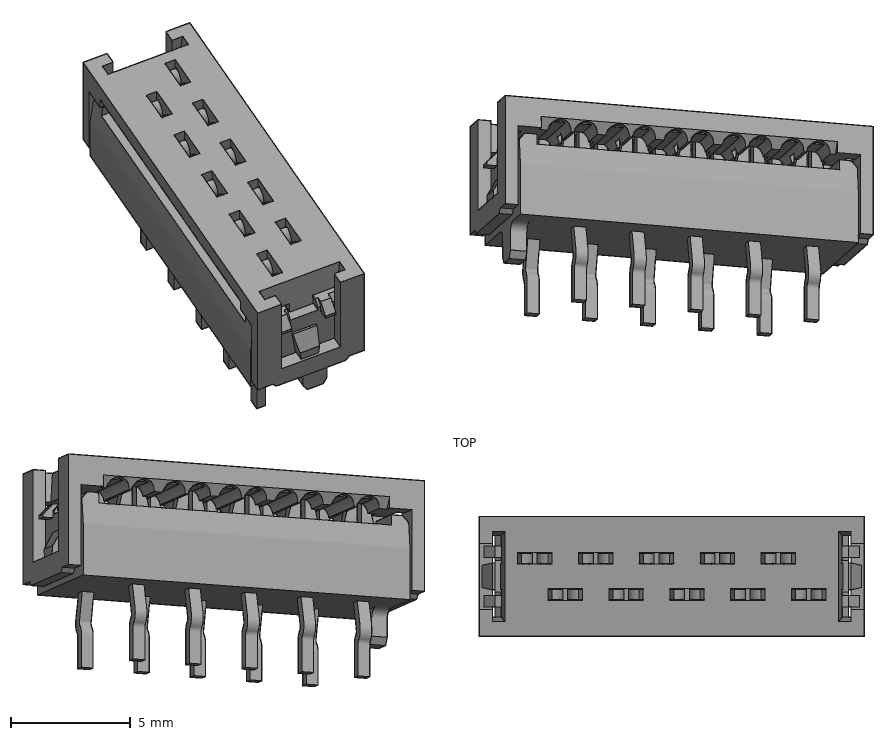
import cadquery as cq


LENGTH = 16.08
DEPTH = 5.0
TOP = 5.1
PIN_BOTTOM = -3.2
HALF_LENGTH = LENGTH / 2
HALF_DEPTH = DEPTH / 2

BASE_HALF_LENGTH = 7.38
SLOPE_START = 2.17
BASE_TOP = 3.14
EAR_TOP = 3.59
EAR_INNER_X = 6.61
SLOPE_INSET = 0.2
EAR_CHAMFER_X = 0.25
EAR_CHAMFER_Z = 0.29
TONGUE_NOTCH_WIDTH = 1.32

BOSS_OFFSET_Y = 1.03
BOSS_WIDTH = 0.48
BOSS_REACH = 0.45
BOSS_RAMP_END = 3.12
BOSS_BOTTOM = 2.99
WEDGE_TOP = 2.33
WEDGE_RAMP_END = 1.56
WEDGE_REACH = 0.55
WEDGE_LEDGE = 0.1
WEDGE_TOP_WIDTH = 1.13
WEDGE_BOTTOM_WIDTH = 0.82

COVER_BOTTOM = 3.83
LEG_INNER_X = 7.48
LEG_BOTTOM = 0.21
LEG_EDGE_BOTTOM = 0.4
LEG_FLAT_HALF = 1.62
LEG_BEVEL_HALF = 1.8
LEG_WINDOW_WIDTH = 2.75
LEG_WINDOW_SILL = 1.15
CABLE_HALF_LENGTH = 6.46
CABLE_TOP = 4.31
CABLE_LEAD_IN = 0.29
END_SLOT_TOP_X = 6.96
END_SLOT_BOTTOM_X = 7.1
END_SLOT_TOP_HALF = 1.88
END_SLOT_BOTTOM_HALF = 1.7
TONGUE_WIDTH = 1.1
TONGUE_BOTTOM = 3.38

CONTACT_COUNT = 10
PITCH = 1.27
ROW_Y = 0.75
WIRE_RADIUS = 0.51
WIRE_CEILING = 4.21
WIRE_Z = 3.76
FRONT_WIRE_SHIFT = -0.13
ACCESS_SLOT_LENGTH = 1.43
ACCESS_SLOT_WIDTH = 0.48
BLADE_THICKNESS = 0.42
BLADE_TOP = 4.76
BLADE_SHOULDER = 3.89
BLADE_ROOT_HALF = 0.72
BLADE_TIP_HALF = 0.55
BLADE_TIP_FLAT = 0.05
FORK_HALF_GAP = 0.1
FORK_MOUTH = 4.28
FORK_BULGE = (0.23, 4.6)
FORK_FLARE = 0.15
PIN_WIDTH = 0.53
BURIED_Z = 0.8

PIN_ROOT_INNER_Y = 1.0
PIN_ROOT_OUTER_Y = 1.4
PIN_TAIL_INNER_Y = 1.08
PIN_TAIL_OUTER_Y = 1.5
PIN_KINK_END = -1.83
INNER_KINK_START = (1.29, -1.17)
INNER_KINK_CREST = (1.3, -1.29)
INNER_KINK_TURN = (1.25, -1.4)
INNER_KINK_SWEEP = (1.13, -1.58)
OUTER_KINK_START = (1.69, -1.01)
OUTER_KINK_CREST = (1.72, -1.19)
OUTER_KINK_SWEEP = (1.69, -1.46)
OUTER_KINK_TURN = (1.55, -1.69)
OUTER_KINK_BLEND = (1.51, -1.75)

TAB_WIDTH = 0.7
TAB_Y = 0.53
TAB_HALF_DEPTH = 0.56
TAB_BOTTOM = -1.5
TAB_CHAMFER_Y = 0.2
TAB_CHAMFER_Z = 0.32
TAB_FILLET = 0.39


def block(x_min, x_max, y_min, y_max, z_min, z_max):
    """Axis-aligned box between the given limits."""
    box = cq.Workplane("XY").box(x_max - x_min, y_max - y_min, z_max - z_min, centered=False)
    return box.translate((x_min, y_min, z_min))


def extrude_along_x(outline, x_min, x_max):
    """Prism along X from a closed YZ outline."""
    return outline.extrude(x_max - x_min).translate((x_min, 0, 0))


def extrude_along_y(outline, y_center, thickness):
    """Prism along Y, centred on y_center, from a closed XZ outline."""
    return outline.extrude(thickness / 2, both=True).translate((0, y_center, 0))


def both_ends(solid):
    """The +X solid together with its mirror image at the -X end."""
    return solid.union(solid.mirror("YZ"))


def make_base():
    """Block with leaning upper faces, raised ears at the ends and a notch for the tongues."""
    top_half = HALF_DEPTH - SLOPE_INSET
    outline = (
        cq.Workplane("YZ")
        .polyline([
            (-HALF_DEPTH, 0),
            (HALF_DEPTH, 0),
            (HALF_DEPTH, SLOPE_START),
            (top_half, EAR_TOP),
            (-top_half, EAR_TOP),
            (-HALF_DEPTH, SLOPE_START),
        ])
        .close()
    )
    base = extrude_along_x(outline, -BASE_HALF_LENGTH, BASE_HALF_LENGTH)

    chamfer = (
        cq.Workplane("XZ")
        .moveTo(BASE_HALF_LENGTH, EAR_TOP)
        .lineTo(BASE_HALF_LENGTH - EAR_CHAMFER_X, EAR_TOP)
        .lineTo(BASE_HALF_LENGTH, EAR_TOP - EAR_CHAMFER_Z)
        .close()
    )
    base = base.cut(both_ends(extrude_along_y(chamfer, 0, DEPTH)))
    base = base.cut(block(-EAR_INNER_X, EAR_INNER_X, -HALF_DEPTH, HALF_DEPTH, BASE_TOP, EAR_TOP))
    notch_half = TONGUE_NOTCH_WIDTH / 2
    return base.cut(
        block(-BASE_HALF_LENGTH, BASE_HALF_LENGTH, -notch_half, notch_half, BASE_TOP, EAR_TOP)
    )


def make_latch_bosses():
    """Two ramped bosses and one tapered wedge at each end of the base."""
    root_x = BASE_HALF_LENGTH - EAR_CHAMFER_X
    ramp = (
        cq.Workplane("XZ")
        .polyline([
            (root_x, EAR_TOP),
            (BASE_HALF_LENGTH, EAR_TOP),
            (BASE_HALF_LENGTH + BOSS_REACH, BOSS_RAMP_END),
            (BASE_HALF_LENGTH + BOSS_REACH, BOSS_BOTTOM),
            (root_x, BOSS_BOTTOM),
        ])
        .close()
    )
    boss = extrude_along_y(ramp, BOSS_OFFSET_Y, BOSS_WIDTH)

    wedge_profile = (
        cq.Workplane("XZ")
        .polyline([
            (root_x, WEDGE_TOP),
            (BASE_HALF_LENGTH + WEDGE_LEDGE, WEDGE_TOP),
            (BASE_HALF_LENGTH + WEDGE_REACH, WEDGE_RAMP_END),
            (BASE_HALF_LENGTH + WEDGE_REACH, LEG_WINDOW_SILL),
            (root_x, LEG_WINDOW_SILL),
        ])
        .close()
    )
    wedge_face = (
        cq.Workplane("YZ")
        .polyline([
            (-WEDGE_TOP_WIDTH / 2, WEDGE_TOP),
            (WEDGE_TOP_WIDTH / 2, WEDGE_TOP),
            (WEDGE_BOTTOM_WIDTH / 2, LEG_WINDOW_SILL),
            (-WEDGE_BOTTOM_WIDTH / 2, LEG_WINDOW_SILL),
        ])
        .close()
    )
    wedge = extrude_along_y(wedge_profile, 0, WEDGE_TOP_WIDTH)
    wedge = wedge.intersect(extrude_along_x(wedge_face, root_x, HALF_LENGTH))
    return both_ends(boss.union(boss.mirror("XZ")).union(wedge))


def make_tab():
    """Locating tab with a chamfered foot and filleted roots, below the +X end of the base."""
    arc_mid = TAB_FILLET * (1 - 0.5 ** 0.5)
    left = TAB_Y - TAB_HALF_DEPTH
    right = TAB_Y + TAB_HALF_DEPTH
    outline = (
        cq.Workplane("YZ")
        .moveTo(left - TAB_FILLET, 0)
        .threePointArc((left - arc_mid, -arc_mid), (left, -TAB_FILLET))
        .lineTo(left, TAB_BOTTOM + TAB_CHAMFER_Z)
        .lineTo(left + TAB_CHAMFER_Y, TAB_BOTTOM)
        .lineTo(right - TAB_CHAMFER_Y, TAB_BOTTOM)
        .lineTo(right, TAB_BOTTOM + TAB_CHAMFER_Z)
        .lineTo(right, -TAB_FILLET)
        .threePointArc((right + arc_mid, -arc_mid), (right + TAB_FILLET, 0))
        .close()
    )
    return extrude_along_x(outline, BASE_HALF_LENGTH - TAB_WIDTH, BASE_HALF_LENGTH)


def make_leg():
    """End leg at +X with bevelled lower edges and a window open to the top."""
    outline = (
        cq.Workplane("YZ")
        .polyline([
            (-HALF_DEPTH, TOP),
            (-HALF_DEPTH, LEG_EDGE_BOTTOM),
            (-LEG_BEVEL_HALF, LEG_EDGE_BOTTOM),
            (-LEG_FLAT_HALF, LEG_BOTTOM),
            (LEG_FLAT_HALF, LEG_BOTTOM),
            (LEG_BEVEL_HALF, LEG_EDGE_BOTTOM),
            (HALF_DEPTH, LEG_EDGE_BOTTOM),
            (HALF_DEPTH, TOP),
        ])
        .close()
    )
    leg = extrude_along_x(outline, LEG_INNER_X, HALF_LENGTH)
    window_half = LEG_WINDOW_WIDTH / 2
    return leg.cut(
        block(LEG_INNER_X, HALF_LENGTH, -window_half, window_half, LEG_WINDOW_SILL, TOP)
    )


def make_end_slot():
    """Slot between the +X leg and the cover slab, narrowing downwards on three sides."""
    def slot_rectangle(z, inner_x, half_width):
        return cq.Wire.makePolygon(
            [
                cq.Vector(inner_x, -half_width, z),
                cq.Vector(LEG_INNER_X, -half_width, z),
                cq.Vector(LEG_INNER_X, half_width, z),
                cq.Vector(inner_x, half_width, z),
            ],
            close=True,
        )

    lower = slot_rectangle(COVER_BOTTOM, END_SLOT_BOTTOM_X, END_SLOT_BOTTOM_HALF)
    upper = slot_rectangle(TOP, END_SLOT_TOP_X, END_SLOT_TOP_HALF)
    return cq.Workplane(cq.Solid.makeLoft([lower, upper], True))


def make_cable_lead_in():
    """Sloped relief along the lower front edge of the cover slab."""
    outline = (
        cq.Workplane("YZ")
        .moveTo(-HALF_DEPTH, CABLE_TOP)
        .lineTo(-HALF_DEPTH, COVER_BOTTOM)
        .lineTo(-HALF_DEPTH + CABLE_LEAD_IN, COVER_BOTTOM)
        .close()
    )
    return extrude_along_x(outline, -CABLE_HALF_LENGTH, CABLE_HALF_LENGTH)


def make_wire_groove():
    """Round groove along Y at X = 0, with a flattened ceiling between its two round mouths."""
    circle = cq.Workplane("XZ").center(0, WIRE_Z).circle(WIRE_RADIUS)
    groove = extrude_along_y(circle, 0, DEPTH)
    inner_y = HALF_DEPTH - CABLE_LEAD_IN
    above_ceiling = block(-WIRE_RADIUS, WIRE_RADIUS, -inner_y, inner_y, WIRE_CEILING, TOP)
    return groove.cut(above_ceiling)


def contact_places():
    """Yields x and the row side (+1 rear, -1 front) of every contact."""
    for index in range(CONTACT_COUNT):
        x = (index - (CONTACT_COUNT - 1) / 2) * PITCH
        side = 1 if index % 2 == 0 else -1
        yield x, side


def make_cover():
    """Slab over the contacts with two legs, tongues, wire grooves and test slots."""
    slab = block(-LEG_INNER_X, LEG_INNER_X, -HALF_DEPTH, HALF_DEPTH, COVER_BOTTOM, TOP)
    cover = slab.union(both_ends(make_leg())).cut(both_ends(make_end_slot()))

    lead_in = make_cable_lead_in()
    cover = cover.cut(lead_in).cut(lead_in.mirror("XZ"))

    for x, side in contact_places():
        wire_x = x if side > 0 else x + FRONT_WIRE_SHIFT
        cover = cover.cut(make_wire_groove().translate((wire_x, 0, 0)))
        slot = (
            cq.Workplane("XY", origin=(x, side * ROW_Y, COVER_BOTTOM))
            .rect(ACCESS_SLOT_LENGTH, ACCESS_SLOT_WIDTH)
            .extrude(TOP - COVER_BOTTOM)
        )
        cover = cover.cut(slot)

    end_slope = (END_SLOT_BOTTOM_X - END_SLOT_TOP_X) / (TOP - COVER_BOTTOM)
    tongue_tip_x = END_SLOT_BOTTOM_X + end_slope * (COVER_BOTTOM - TONGUE_BOTTOM)
    outline = (
        cq.Workplane("XZ")
        .polyline([
            (CABLE_HALF_LENGTH, TONGUE_BOTTOM),
            (tongue_tip_x, TONGUE_BOTTOM),
            (END_SLOT_TOP_X, TOP),
            (CABLE_HALF_LENGTH, TOP),
        ])
        .close()
    )
    tongue = extrude_along_y(outline, 0, TONGUE_WIDTH)
    return cover.union(both_ends(tongue))


def make_blade():
    """Forked upper end of a contact, centred on X = 0 and Y = 0."""
    half = (
        cq.Workplane("XZ")
        .moveTo(0, BURIED_Z)
        .lineTo(BLADE_ROOT_HALF, BURIED_Z)
        .lineTo(BLADE_ROOT_HALF, BASE_TOP)
        .lineTo(BLADE_TIP_HALF, BLADE_SHOULDER)
        .lineTo(BLADE_TIP_HALF, BLADE_TOP)
        .lineTo(BLADE_TIP_HALF - BLADE_TIP_FLAT, BLADE_TOP)
        .threePointArc(FORK_BULGE, (FORK_HALF_GAP, FORK_MOUTH))
        .lineTo(FORK_HALF_GAP, BASE_TOP + FORK_FLARE)
        .lineTo(FORK_HALF_GAP + FORK_FLARE, BASE_TOP)
        .lineTo(0, BASE_TOP)
        .close()
    )
    return both_ends(extrude_along_y(half, 0, BLADE_THICKNESS))


def make_pin():
    """Kinked solder pin of a rear-row contact, centred on X = 0."""
    outline = (
        cq.Workplane("YZ")
        .moveTo(PIN_ROOT_INNER_Y, BURIED_Z)
        .lineTo(PIN_ROOT_INNER_Y, 0)
        .lineTo(*INNER_KINK_START)
        .threePointArc(INNER_KINK_CREST, INNER_KINK_TURN)
        .threePointArc(INNER_KINK_SWEEP, (PIN_TAIL_INNER_Y, PIN_KINK_END))
        .lineTo(PIN_TAIL_INNER_Y, PIN_BOTTOM)
        .lineTo(PIN_TAIL_OUTER_Y, PIN_BOTTOM)
        .lineTo(PIN_TAIL_OUTER_Y, PIN_KINK_END)
        .threePointArc(OUTER_KINK_BLEND, OUTER_KINK_TURN)
        .threePointArc(OUTER_KINK_SWEEP, OUTER_KINK_CREST)
        .lineTo(*OUTER_KINK_START)
        .lineTo(PIN_ROOT_OUTER_Y, 0)
        .lineTo(PIN_ROOT_OUTER_Y, BURIED_Z)
        .close()
    )
    return extrude_along_x(outline, -PIN_WIDTH / 2, PIN_WIDTH / 2)


result = make_base().union(make_latch_bosses()).union(make_tab()).union(make_cover())
rear_pin = make_pin()
front_pin = rear_pin.mirror("XZ")
blade = make_blade()
for contact_x, row_side in contact_places():
    pin = rear_pin if row_side > 0 else front_pin
    result = result.union(blade.translate((contact_x, row_side * ROW_Y, 0)))
    result = result.union(pin.translate((contact_x, 0, 0)))